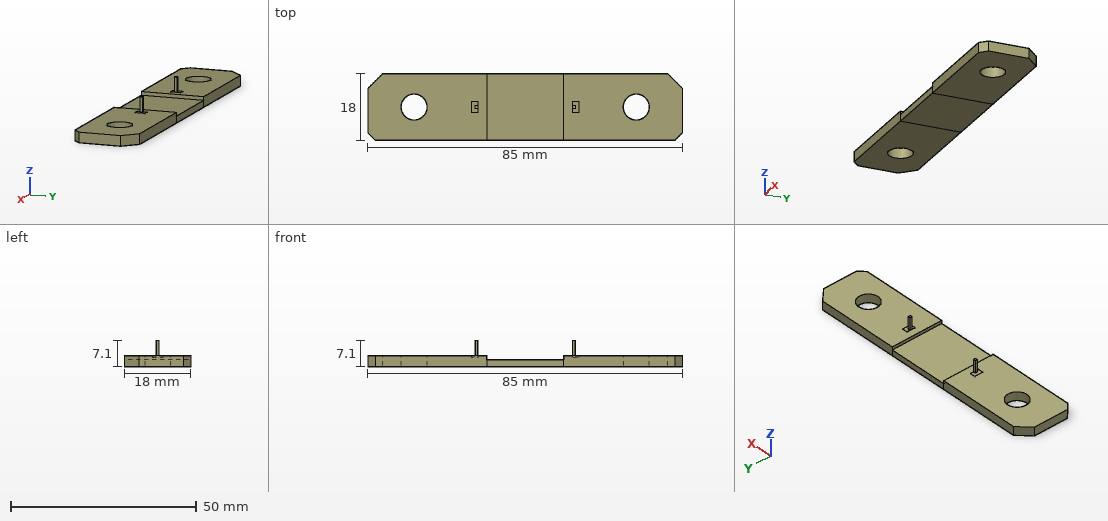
import cadquery as cq

bar_length = 85.0
bar_width = 18.0
terminal_thickness = 3.0
strip_length = 20.7
strip_thickness = 1.95

back_corner_clip = 4.0
front_corner_clip = 2.0

hole_diameter = 7.0
hole_offset = 30.0

pad_length = 1.8
pad_width = 2.9
pad_thickness = 0.4
pad_inner_offset = 12.75
pin_side = 0.8
total_height = 7.1
pin_height = total_height - terminal_thickness

pad_offset = pad_inner_offset + pad_length / 2
pad_bottom = terminal_thickness - pad_thickness
pin_offset = pad_inner_offset + pin_side / 2

sides = (-1, 1)


def block(length, width, height, x, bottom):
    """Upright rectangular block centred on Y, with its bottom face at the given height."""
    return (
        cq.Workplane("XY", origin=(x, 0, bottom))
        .rect(length, width)
        .extrude(height)
    )


def make_strip():
    return block(strip_length, bar_width, strip_thickness, 0, 0)


def make_pad(side):
    return block(pad_length, pad_width, pad_thickness, side * pad_offset, pad_bottom)


def make_pin(side):
    return block(pin_side, pin_side, pin_height, side * pin_offset, terminal_thickness)


def make_terminal(side):
    """Plate with clipped outer corners, a mounting hole and a recess for the sense pad."""
    outer_x = side * bar_length / 2
    inner_x = side * strip_length / 2
    back_y = bar_width / 2
    front_y = -bar_width / 2
    outline = [
        (inner_x, front_y),
        (outer_x - side * front_corner_clip, front_y),
        (outer_x, front_y + front_corner_clip),
        (outer_x, back_y - back_corner_clip),
        (outer_x - side * back_corner_clip, back_y),
        (inner_x, back_y),
    ]
    plate = cq.Workplane("XY").polyline(outline).close().extrude(terminal_thickness)
    hole = (
        cq.Workplane("XY", origin=(side * hole_offset, 0, 0))
        .circle(hole_diameter / 2)
        .extrude(terminal_thickness)
    )
    return plate.cut(hole).cut(make_pad(side))


strip = make_strip()
terminals = [make_terminal(side) for side in sides]
pads = [make_pad(side) for side in sides]
pins = [make_pin(side) for side in sides]

result = cq.Compound.makeCompound(
    [strip.val()] + [body.val() for body in terminals + pads + pins]
)